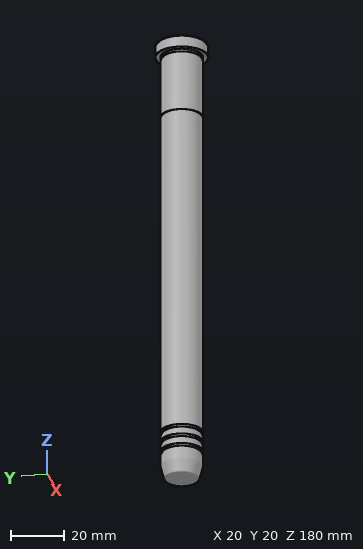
import cadquery as cq
import math

pin_length = 180.0
pin_top = pin_length / 2
pin_bottom = -pin_length / 2
shaft_diameter = 16.0
shaft_radius = shaft_diameter / 2

groove_width = 1.0
groove_depth = 0.4

head_diameter = 20.0
head_height = 5.0
head_chamfer = 0.5

shank_length = 30.0
joint_z = pin_top - shank_length

groove_count = 3
groove_pitch = 4.0
lowest_groove_height = 10.8

tip_length = 5.0
tip_angle = 15.0
tip_end_radius = shaft_radius - tip_length * math.tan(math.radians(tip_angle))
tip_fillet = 0.5


def cylinder(radius, bottom, height):
    return cq.Workplane("XY").workplane(offset=bottom).circle(radius).extrude(height)


def round_groove_cutter(centre_z):
    """Torus whose tube cuts an arc of the groove width and depth into the shaft."""
    tube_radius = (groove_width**2 / 4 + groove_depth**2) / (2 * groove_depth)
    ring_radius = shaft_radius - groove_depth + tube_radius
    return cq.Workplane(cq.Solid.makeTorus(ring_radius, tube_radius, cq.Vector(0, 0, centre_z)))


def make_headed_shank():
    head_bottom = pin_top - head_height
    head = cylinder(head_diameter / 2, head_bottom, head_height)
    head = head.faces(">Z").edges().chamfer(head_chamfer)
    shank = cylinder(shaft_radius, joint_z, shank_length - head_height)
    relief = round_groove_cutter(head_bottom - groove_width / 2)
    return head.union(shank.cut(relief))


def make_tapered_blank():
    tip_top = pin_bottom + tip_length
    blank = (
        cq.Workplane("XZ")
        .moveTo(0, pin_bottom)
        .lineTo(-tip_end_radius, pin_bottom)
        .lineTo(-shaft_radius, tip_top)
        .lineTo(-shaft_radius, joint_z)
        .lineTo(0, joint_z)
        .close()
        .revolve(360, (0, 0, 0), (0, 1, 0))
    )
    return blank.faces("<Z").edges().fillet(tip_fillet)


def make_guide_rod():
    rod = make_tapered_blank()
    for index in range(groove_count):
        centre_z = pin_bottom + lowest_groove_height + index * groove_pitch
        rod = rod.cut(round_groove_cutter(centre_z))
    return rod


headed_shank = make_headed_shank()
guide_rod = make_guide_rod()

result = cq.Compound.makeCompound([headed_shank.val(), guide_rod.val()])